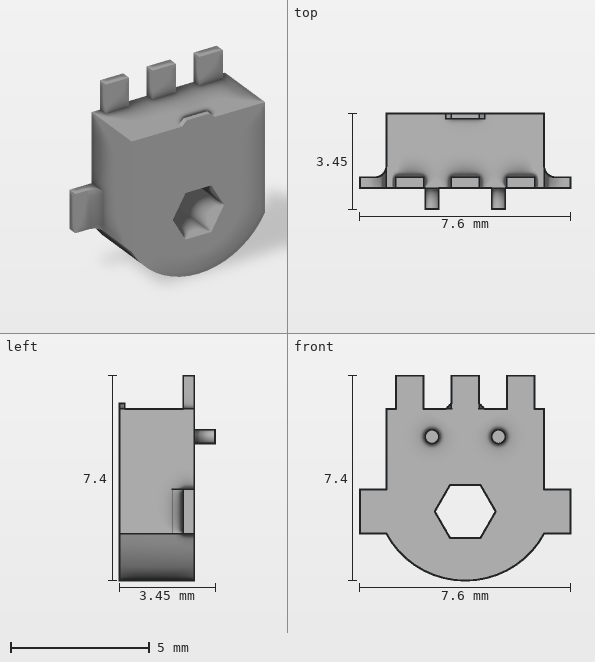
import cadquery as cq
import math

body_width = 5.7
body_depth = 2.7
body_top = 3.7
body_bottom = -2.5

ear_span = 7.6
ear_height = 1.6
ear_thickness = 0.4
ear_fillet = 0.4

tab_count = 3
tab_pitch = 2.0
tab_width = 1.0
tab_height = 1.2
tab_thickness = 0.4

lip_base_width = 1.4
lip_height = 0.2
lip_top_width = lip_base_width - 2 * lip_height
lip_thickness = 0.2

pin_diameter = 0.5
pin_length = 0.75
pin_spacing = 2.4
pin_z = 2.7

hex_across_flats = 1.9
hex_across_corners = hex_across_flats / math.cos(math.pi / 6)

half_width = body_width / 2
ear_bottom = -ear_height / 2


def make_body():
    """Block whose underside is one arc running between the lower edges of the ears."""
    return (
        cq.Workplane("XZ")
        .moveTo(-half_width, ear_bottom)
        .lineTo(-half_width, body_top)
        .lineTo(half_width, body_top)
        .lineTo(half_width, ear_bottom)
        .threePointArc((0, body_bottom), (-half_width, ear_bottom))
        .close()
        .extrude(-body_depth)
    )


def make_ear():
    """Right-hand ear, with a concave fillet blending its back into the body side."""
    fillet_end_x = half_width + ear_fillet
    fillet_end_y = ear_thickness + ear_fillet
    mid_offset = ear_fillet * math.cos(math.pi / 4)
    fillet_mid = (fillet_end_x - mid_offset, fillet_end_y - mid_offset)
    return (
        cq.Workplane("XY", origin=(0, 0, ear_bottom))
        .moveTo(0, 0)
        .lineTo(ear_span / 2, 0)
        .lineTo(ear_span / 2, ear_thickness)
        .lineTo(fillet_end_x, ear_thickness)
        .threePointArc(fillet_mid, (half_width, fillet_end_y))
        .lineTo(0, fillet_end_y)
        .close()
        .extrude(ear_height)
    )


def make_tab(center_x):
    """Upright terminal tab."""
    return (
        cq.Workplane("XY", origin=(center_x, tab_thickness / 2, body_top))
        .rect(tab_width, tab_thickness)
        .extrude(tab_height)
    )


def make_lip():
    """Low lip with sloping ends, flush with the back face."""
    lip_top = body_top + lip_height
    return (
        cq.Workplane("XZ", origin=(0, body_depth, 0))
        .moveTo(-lip_base_width / 2, body_top)
        .lineTo(-lip_top_width / 2, lip_top)
        .lineTo(lip_top_width / 2, lip_top)
        .lineTo(lip_base_width / 2, body_top)
        .close()
        .extrude(lip_thickness)
    )


def make_pins():
    """Pair of round pins standing out of the front face."""
    return (
        cq.Workplane("XZ")
        .pushPoints([(-pin_spacing / 2, pin_z), (pin_spacing / 2, pin_z)])
        .circle(pin_diameter / 2)
        .extrude(pin_length)
    )


def make_hex_hole():
    """Cutter for the hexagonal hole through the full depth."""
    return cq.Workplane("XZ").polygon(6, hex_across_corners).extrude(-body_depth)


right_ear = make_ear()
result = make_body().union(right_ear).union(right_ear.mirror("YZ"))
for index in range(tab_count):
    result = result.union(make_tab((index - (tab_count - 1) / 2) * tab_pitch))
result = result.union(make_lip()).union(make_pins()).cut(make_hex_hole())